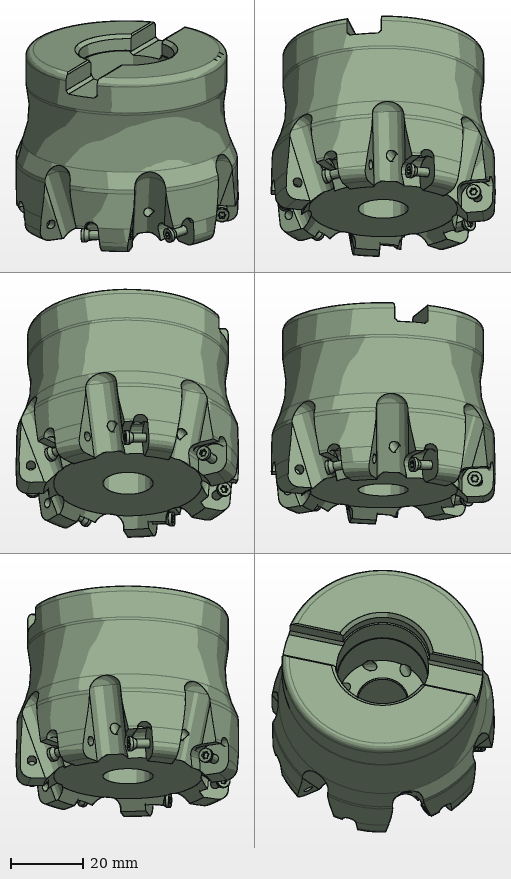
import cadquery as cq
import math

HEIGHT = 49.61
TEETH = 7
PITCH_ANGLE = 360 / TEETH
FIRST_FLUTE_ANGLE = 0.8

HUB_RADIUS = 27.75
HUB_BOTTOM_Z = 40.1
HUB_LIP_RADIUS = 27.65
HUB_LIP_Z = 39.4
HUB_EDGE_FILLET = 2.0
NECK_RADIUS = 26.85
NECK_Z = 33.0
FLARE_RADIUS = 28.7
FLARE_Z = 23.3
SHOULDER_RADIUS = 30.6
SHOULDER_Z = 18.7
HEAD_RADIUS = 30.95
HEAD_TOP_RADIUS = 30.72
HEAD_TOP_Z = 17.6
HEAD_BOTTOM_Z = 7.5
NOSE_RADIUS = 30.75
NOSE_Z = 3.4
NOSE_ROUND = 3.1

BORE_RADIUS = 12.7
BORE_FLOOR_Z = 22.0
BORE_RELIEF = 0.45
BORE_RELIEF_DEPTH = 4.4
BORE_CHAMFER = 1.05
BORE_LAND_DEPTH = 13.3
BORE_LAND_STEP = 0.2
BOLT_HOLE_RADIUS = 6.9
BOLT_HOLE_CHAMFER = 0.3
RECESS_MOUTH_RADIUS = 23.3
RECESS_RADIUS = 20.5
RECESS_DEPTH = 2.8

SLOT_WIDTH = 9.6
SLOT_DEPTH = 5.65
SLOT_FLOOR_CHAMFER = 0.85
SLOT_MOUTH_CHAMFER = 0.4

FLUTE_RADIUS = 4.4
FLUTE_TOP = (31.0, 0.0, 19.3)
FLUTE_LOW = (25.6, 0.6, 5.0)
FLUTE_OVERRUN_Z = -6.0
FLANK_OUTER_RADIUS = 34.0
FLANK_LOW_Z = -1.0
FLANK_BACK_SPREAD = 9.0
FLANK_FRONT_SPREAD = 10.6

SEAT_LEAD_ANGLE = 24.8
SEAT_CENTRE_RADIUS = 26.5
SEAT_CENTRE_Z = 4.1
SEAT_TILT = 5.0
SEAT_RADIUS = 4.5
SEAT_THICKNESS = 3.8
CLEARANCE_INNER = 4.5
CLEARANCE_TOP = 3.1
CLEARANCE_OUTER = 8.0
CLEARANCE_BOTTOM = 7.0
CLEARANCE_LENGTH = 9.0
CLEARANCE_CORNER_RADIUS = 2.5
RELIEF_RADIUS = 1.95
RELIEF_HEIGHT = 3.1
RELIEF_START = -0.5
THREAD_RADIUS = 1.25
THREAD_HOLE_LENGTH = 14.0
SCREW_HEAD_RADIUS = 1.95
SCREW_FACE_OFFSET = 5.8
SCREW_RIM = 0.9
SCREW_TAPER = 1.2
SCREW_ENGAGEMENT = 4.5
SOCKET_RADIUS = 0.8
SOCKET_LOBE_RADIUS = 0.27
SOCKET_LOBES = 6
SOCKET_DEPTH = 1.0

COOLANT_RADIUS = 1.45
COOLANT_ENTRY_RADIUS = 11.5
COOLANT_ENTRY_LAG = -21.3
COOLANT_TURN = 46.6
COOLANT_RUN = 12.5
COOLANT_EXIT_Z = 10.0


def round_about_axis(solid, index):
    """Turn a feature made on the +X axis to flute number `index`."""
    return solid.rotate((0, 0, 0), (0, 0, 1), FIRST_FLUTE_ANGLE + index * PITCH_ANGLE)


def make_blank():
    arc = math.sqrt(0.5)
    nose_inner = NOSE_RADIUS - NOSE_ROUND
    nose_mid = (nose_inner + NOSE_ROUND * arc, NOSE_Z * (1 - arc))
    blank = (
        cq.Workplane("XZ")
        .moveTo(0, 0)
        .lineTo(nose_inner, 0)
        .threePointArc(nose_mid, (NOSE_RADIUS, NOSE_Z))
        .lineTo(HEAD_RADIUS, HEAD_BOTTOM_Z)
        .lineTo(HEAD_TOP_RADIUS, HEAD_TOP_Z)
        .lineTo(SHOULDER_RADIUS, SHOULDER_Z)
        .lineTo(FLARE_RADIUS, FLARE_Z)
        .threePointArc((NECK_RADIUS, NECK_Z), (HUB_LIP_RADIUS, HUB_LIP_Z))
        .lineTo(HUB_RADIUS, HUB_BOTTOM_Z)
        .lineTo(HUB_RADIUS, HEIGHT)
        .lineTo(0, HEIGHT)
        .close()
        .revolve(360, (0, 0, 0), (0, 1, 0))
    )
    return blank.faces(">Z").edges().fillet(HUB_EDGE_FILLET)


def make_bore():
    """Everything removed around the axis: bore, bolt hole and the conical bottom recess."""
    relief_radius = BORE_RADIUS + BORE_RELIEF
    land_radius = BORE_RADIUS - BORE_LAND_STEP
    bore = (
        cq.Workplane("XZ")
        .moveTo(0, 0)
        .lineTo(BOLT_HOLE_RADIUS, 0)
        .lineTo(BOLT_HOLE_RADIUS, BORE_FLOOR_Z - BOLT_HOLE_CHAMFER)
        .lineTo(BOLT_HOLE_RADIUS + BOLT_HOLE_CHAMFER, BORE_FLOOR_Z)
        .lineTo(land_radius, BORE_FLOOR_Z)
        .lineTo(land_radius, HEIGHT - BORE_LAND_DEPTH)
        .lineTo(BORE_RADIUS, HEIGHT - BORE_LAND_DEPTH)
        .lineTo(BORE_RADIUS, HEIGHT - BORE_RELIEF_DEPTH)
        .lineTo(relief_radius, HEIGHT - BORE_RELIEF_DEPTH)
        .lineTo(relief_radius, HEIGHT - BORE_CHAMFER)
        .lineTo(relief_radius + BORE_CHAMFER, HEIGHT)
        .lineTo(0, HEIGHT)
        .close()
        .revolve(360, (0, 0, 0), (0, 1, 0))
    )
    recess = cq.Workplane(
        cq.Solid.makeCone(RECESS_MOUTH_RADIUS, RECESS_RADIUS, RECESS_DEPTH)
    )
    return bore.union(recess)


def make_drive_slot():
    half = SLOT_WIDTH / 2
    floor_z = HEIGHT - SLOT_DEPTH
    right_side = [
        (half - SLOT_FLOOR_CHAMFER, floor_z),
        (half, floor_z + SLOT_FLOOR_CHAMFER),
        (half, HEIGHT - SLOT_MOUTH_CHAMFER),
        (half + SLOT_MOUTH_CHAMFER, HEIGHT),
    ]
    left_side = [(-x, z) for x, z in reversed(right_side)]
    return (
        cq.Workplane("XZ")
        .polyline(right_side + left_side)
        .close()
        .extrude(HUB_RADIUS * 2, both=True)
    )


def make_flute():
    top = cq.Vector(*FLUTE_TOP)
    axis = cq.Vector(*FLUTE_LOW) - top
    overrun = (FLUTE_OVERRUN_Z - top.z) / axis.z
    groove = cq.Workplane(cq.Solid.makeCylinder(FLUTE_RADIUS, axis.Length * overrun, top, axis))
    ball = cq.Workplane("XY").sphere(FLUTE_RADIUS).translate(top)

    low_tangent = top.y + axis.y * (FLANK_LOW_Z - top.z) / axis.z
    low_radius = top.x + axis.x * (FLANK_LOW_Z - top.z) / axis.z
    r = FLUTE_RADIUS
    inner = cq.Wire.makePolygon(
        [
            cq.Vector(top.x, top.y - r, top.z),
            cq.Vector(top.x, top.y + r, top.z),
            cq.Vector(low_radius, low_tangent + r, FLANK_LOW_Z),
            cq.Vector(low_radius, low_tangent - r, FLANK_LOW_Z),
        ],
        close=True,
    )
    outer = cq.Wire.makePolygon(
        [
            cq.Vector(FLANK_OUTER_RADIUS, top.y - r, top.z),
            cq.Vector(FLANK_OUTER_RADIUS, top.y + r, top.z),
            cq.Vector(FLANK_OUTER_RADIUS, FLANK_FRONT_SPREAD, FLANK_LOW_Z),
            cq.Vector(FLANK_OUTER_RADIUS, -FLANK_BACK_SPREAD, FLANK_LOW_Z),
        ],
        close=True,
    )
    walls = cq.Workplane(cq.Solid.makeLoft([inner, outer], True))
    return groove.union(ball).union(walls)


def place_on_seat(solid):
    """Move a feature from the seat frame (origin at the seat centre, +Z out of the seat
    towards the flute) to its place beside the flute on the +X axis."""
    return (
        solid.rotate((0, 0, 0), (1, 0, 0), 90 + SEAT_TILT)
        .translate((SEAT_CENTRE_RADIUS, 0, SEAT_CENTRE_Z))
        .rotate((0, 0, 0), (0, 0, 1), SEAT_LEAD_ANGLE)
    )


def make_seat():
    pocket = cq.Workplane("XY").circle(SEAT_RADIUS).extrude(SEAT_THICKNESS)
    clearance = (
        cq.Workplane("XY")
        .moveTo(-CLEARANCE_INNER, -CLEARANCE_BOTTOM)
        .lineTo(CLEARANCE_OUTER, -CLEARANCE_BOTTOM)
        .lineTo(CLEARANCE_OUTER, CLEARANCE_TOP)
        .lineTo(-CLEARANCE_INNER, CLEARANCE_TOP)
        .close()
        .extrude(CLEARANCE_LENGTH)
        .edges("|Z and <X and >Y")
        .fillet(CLEARANCE_CORNER_RADIUS)
    )
    relief = (
        cq.Workplane("YZ", origin=(RELIEF_START, 0, 0))
        .center(RELIEF_HEIGHT, RELIEF_RADIUS)
        .circle(RELIEF_RADIUS)
        .extrude(CLEARANCE_OUTER - RELIEF_START)
    )
    thread_hole = cq.Workplane("XY").circle(THREAD_RADIUS).extrude(-THREAD_HOLE_LENGTH)
    return place_on_seat(pocket.union(clearance).union(relief).union(thread_hole))


def make_coolant_hole():
    entry_angle = math.radians(COOLANT_ENTRY_LAG)
    heading = math.radians(COOLANT_ENTRY_LAG + COOLANT_TURN)
    entry = cq.Vector(
        COOLANT_ENTRY_RADIUS * math.cos(entry_angle),
        COOLANT_ENTRY_RADIUS * math.sin(entry_angle),
        BORE_FLOOR_Z,
    )
    path = cq.Vector(
        COOLANT_RUN * math.cos(heading),
        COOLANT_RUN * math.sin(heading),
        COOLANT_EXIT_Z - BORE_FLOOR_Z,
    )
    start = entry - path.normalized() * COOLANT_RADIUS
    length = path.Length + 2 * COOLANT_RADIUS
    return cq.Workplane(cq.Solid.makeCylinder(COOLANT_RADIUS, length, start, path))


def make_screw():
    """Insert screw: flat face with a six-lobe socket, countersunk head and plain shank."""
    rim_z = SCREW_FACE_OFFSET - SCREW_RIM
    profile = (
        cq.Workplane("XZ")
        .moveTo(0, -SCREW_ENGAGEMENT)
        .lineTo(THREAD_RADIUS, -SCREW_ENGAGEMENT)
        .lineTo(THREAD_RADIUS, rim_z - SCREW_TAPER)
        .lineTo(SCREW_HEAD_RADIUS, rim_z)
        .lineTo(SCREW_HEAD_RADIUS, SCREW_FACE_OFFSET)
        .lineTo(0, SCREW_FACE_OFFSET)
        .close()
    )
    screw = profile.revolve(360, (0, 0, 0), (0, 1, 0))
    face = cq.Workplane("XY", origin=(0, 0, SCREW_FACE_OFFSET))
    socket = face.circle(SOCKET_RADIUS).extrude(-SOCKET_DEPTH)
    lobes = (
        face.polarArray(SOCKET_RADIUS, 0, 360, SOCKET_LOBES)
        .circle(SOCKET_LOBE_RADIUS)
        .extrude(-SOCKET_DEPTH)
    )
    return place_on_seat(screw.cut(socket).cut(lobes))


cutter_body = make_blank().cut(make_bore()).cut(make_drive_slot())
tooth_gap = make_flute().union(make_seat()).union(make_coolant_hole())
screw = make_screw()

screws = []
for index in range(TEETH):
    cutter_body = cutter_body.cut(round_about_axis(tooth_gap, index))
    screws.append(round_about_axis(screw, index))

result = cq.Compound.makeCompound([cutter_body.val(), *[s.val() for s in screws]])